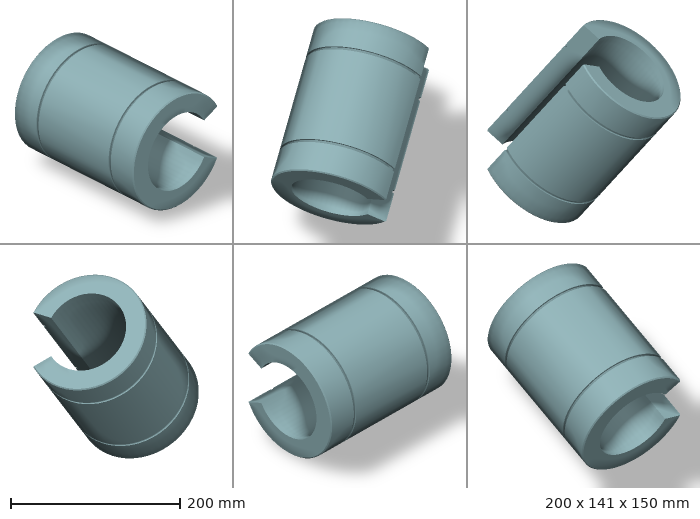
import cadquery as cq
import math

length = 200.0
outer_radius = 75.0
bore_radius = 50.0
end_chamfer = 1.5

groove_width = 3.8
groove_depth = 2.5
groove_spacing = 121.5

opening_bore_width = 50.0
opening_wall_angle = 25.0


def make_sleeve():
    return (
        cq.Workplane("YZ")
        .circle(outer_radius)
        .extrude(length / 2, both=True)
        .faces("<X or >X")
        .chamfer(end_chamfer)
        .cut(cq.Workplane("YZ").circle(bore_radius).extrude(length / 2, both=True))
    )


def make_groove(center_x):
    return (
        cq.Workplane("YZ", origin=(center_x, 0, 0))
        .circle(outer_radius)
        .circle(outer_radius - groove_depth)
        .extrude(groove_width / 2, both=True)
    )


def make_opening():
    bore_half_width = opening_bore_width / 2
    bore_edge_y = math.sqrt(bore_radius**2 - bore_half_width**2)
    slope = math.tan(math.radians(opening_wall_angle))
    outside_half_width = bore_half_width + (outer_radius - bore_edge_y) * slope
    return (
        cq.Workplane("YZ")
        .moveTo(0, -bore_half_width)
        .lineTo(bore_edge_y, -bore_half_width)
        .lineTo(outer_radius, -outside_half_width)
        .lineTo(outer_radius, outside_half_width)
        .lineTo(bore_edge_y, bore_half_width)
        .lineTo(0, bore_half_width)
        .close()
        .extrude(length / 2, both=True)
    )


result = make_sleeve()
for side in (-1, 1):
    result = result.cut(make_groove(side * groove_spacing / 2))
result = result.cut(make_opening())